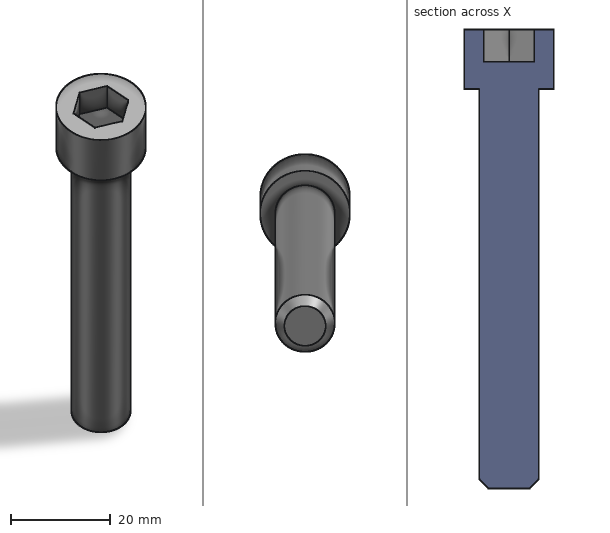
import cadquery as cq
import math

total_length = 92.0
shank_diameter = 12.0
head_diameter = 18.0
head_height = shank_diameter
tip_chamfer = 1.8
socket_across_flats = 10.0
socket_depth = 6.4

shank_length = total_length - head_height


def make_shank():
    shank = cq.Workplane("XY").circle(shank_diameter / 2).extrude(shank_length)
    return shank.faces("<Z").chamfer(tip_chamfer)


def make_head():
    head = cq.Workplane("XY").workplane(offset=shank_length)
    return head.circle(head_diameter / 2).extrude(head_height)


def make_socket():
    across_corners = socket_across_flats / math.cos(math.pi / 6)
    socket = cq.Workplane("XY").workplane(offset=total_length - socket_depth)
    return socket.polygon(6, across_corners).extrude(socket_depth)


result = make_shank().union(make_head()).cut(make_socket())